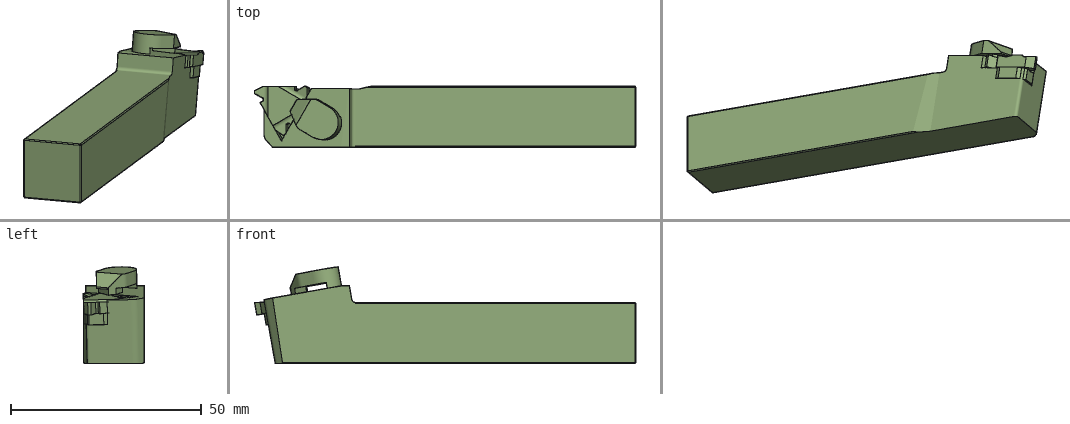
import cadquery as cq
import math

LENGTH = 99.9
SHANK = 16.0
SHANK_CHAMFER = 0.3

SEAT_TILT = 10.0
SEAT_ROLL_SLOPE = 0.024
SEAT_ORIGIN = (7.1, 11.2, 17.36)

HEAD_TOP = 20.38
HEAD_REAR_X = 25.65
HEAD_FILLET = 1.0
HEAD_EMBED = 8.0
HEAD_FRONT = -4.67
HEAD_BACK = -11.6
CORNER_CUT_X = 2.7
CORNER_CUT_Y = 2.85
CORNER_FILLET = 2.5
HEAD_SIDE = 4.2
SIDE_FRONT_FILLET = 0.8
RAMP_START = 19.8
RAMP_SLOPE = 0.25
REACH = 120.0

INSERT_INRADIUS = 9.525 / 2
INSERT_THICKNESS = 3.4
TOOTH_TIP_X = -7.22
TOOTH_TIP_TOP = 3.65
TOOTH_TIP_BOTTOM = 2.82
TOOTH_ROOT_X = -5.0
TOOTH_ROOT_BOTTOM = 1.58
NOTCH_BOTTOM = 0.95
NOTCH_END_X = -5.8
RAKE_EDGE_DEPTH = 0.02
RAKE_WALL_X = -3.65
RAKE_FLOOR_END_X = -4.75
RAKE_LEAD_IN = 1.0
RAKE_CLEARANCE = 1.0

SHIM_THICKNESS = 3.0
SHIM_TRIM_X = -5.25
SHIM_TRIM_TOP = 3.4
SHIM_FLANK_X = -2.9

CLAMP_CENTRE = (11.5, -4.8)
CLAMP_TURN = -30.0
CLAMP_RADIUS = 4.5
CLAMP_UNDERSIDE = 1.6
CLAMP_TOP = 5.17
CLAMP_SIDE = 1.3
NOSE_TIP = -9.2
NOSE_TIP_HEIGHT = 2.0
NOSE_EDGE = -5.9
NOSE_EDGE_HEIGHT = 4.9
NOSE_CHAMFER = 0.45
CLIP_START = -4.6
CLIP_ANGLE = 30.0
CLIP_FILLET = 2.5
HEEL_FRONT = 2.8
LEG_OUTLINE = [(1.74, -2.42), (7.0, 0.75), (6.7, -5.5), (2.6, -3.1)]

TILT = math.radians(SEAT_TILT)
SEAT = cq.Plane(
    origin=SEAT_ORIGIN,
    xDir=(math.cos(TILT), 0, math.sin(TILT)),
    normal=(-math.tan(TILT), SEAT_ROLL_SLOPE, 1),
)


def seat_plane(height=0.0):
    """Workplane parallel to the seat at a height above it."""
    return cq.Workplane(SEAT).workplane(offset=height)


def triangle(inradius):
    """Corners of the insert triangle, one side facing +Y."""
    half = inradius * math.sqrt(3)
    return [(-half, inradius), (half, inradius), (0, -2 * inradius)]


def on_seat(body):
    """Move a body drawn in the seat axes to its place on the seat."""
    return cq.Workplane(body.val().located(cq.Location(SEAT)))


def side_height(x):
    """Y on the lower left side of the insert triangle at a given x."""
    return -x * math.sqrt(3) - 2 * INSERT_INRADIUS


def fillet_upright(body, corner, radius):
    """Round the upright edge of a prism that stands on a corner of its outline."""
    nearest = cq.selectors.NearestToPointSelector((*corner, body.val().Center().z))
    return body.edges("|Z").edges(nearest).fillet(radius)


def around_centre(corner):
    """Points of one corner, repeated for the three corners of the triangle."""
    points = []
    for i in range(3):
        turn = math.radians(120 * i)
        for x, y in corner:
            turned_x = x * math.cos(turn) - y * math.sin(turn)
            turned_y = x * math.sin(turn) + y * math.cos(turn)
            points.append((turned_x, turned_y))
    return points


def tooth_corner():
    """Outline of one toothed corner, from the +Y side round to the next side."""
    return [
        (TOOTH_ROOT_X, INSERT_INRADIUS),
        (TOOTH_TIP_X, TOOTH_TIP_TOP),
        (TOOTH_TIP_X, TOOTH_TIP_BOTTOM),
        (TOOTH_ROOT_X, TOOTH_ROOT_BOTTOM),
        (TOOTH_ROOT_X, NOTCH_BOTTOM),
        (NOTCH_END_X, side_height(NOTCH_END_X)),
    ]


def rake_groove():
    """Cutter for the rake face of one corner, curving up to the insert top."""
    slope = math.tan(TILT)
    depth_at_start = RAKE_EDGE_DEPTH - slope * RAKE_LEAD_IN
    depth_at_end = RAKE_EDGE_DEPTH + slope * (RAKE_FLOOR_END_X - TOOTH_TIP_X)
    start_x = TOOTH_TIP_X - RAKE_LEAD_IN
    profile = (
        cq.Workplane("XZ")
        .moveTo(start_x, RAKE_CLEARANCE)
        .lineTo(start_x, -depth_at_start)
        .lineTo(RAKE_FLOOR_END_X, -depth_at_end)
        .tangentArcPoint((RAKE_WALL_X, 0), relative=False)
        .lineTo(RAKE_WALL_X, RAKE_CLEARANCE)
        .close()
    )
    return profile.extrude(2 * INSERT_INRADIUS, both=True)


def make_insert():
    outline = around_centre(tooth_corner())
    body = cq.Workplane("XY").polyline(outline).close().extrude(-INSERT_THICKNESS)
    for i in range(3):
        body = body.cut(rake_groove().rotate((0, 0, 0), (0, 0, 1), 120 * i))
    return on_seat(body)


def make_shank():
    bar = cq.Workplane("XY").box(LENGTH, SHANK, SHANK, centered=False)
    return bar.edges("|X or >X").chamfer(SHANK_CHAMFER)


def make_head_block():
    """Head and its rear wall, before the tilted faces are cut."""
    tangent = HEAD_FILLET / math.tan(math.radians(90 + SEAT_TILT) / 2)
    wall_dx = -math.sin(TILT)
    wall_dz = math.cos(TILT)
    rise = HEAD_TOP - SHANK
    profile = (
        cq.Workplane("XZ")
        .moveTo(0, HEAD_EMBED)
        .lineTo(0, HEAD_TOP)
        .lineTo(HEAD_REAR_X - rise * math.tan(TILT), HEAD_TOP)
        .lineTo(HEAD_REAR_X + tangent * wall_dx, SHANK + tangent * wall_dz)
        .tangentArcPoint((HEAD_REAR_X + tangent, SHANK), relative=False)
        .lineTo(HEAD_REAR_X + tangent, HEAD_EMBED)
        .close()
    )
    return profile.extrude(-SHANK)


def make_seat_envelope():
    """Prism square to the seat: front face, corner cut and set-back side."""
    ramp_end = RAMP_START + REACH
    outline = [
        (HEAD_FRONT, HEAD_SIDE),
        (HEAD_FRONT, HEAD_BACK + CORNER_CUT_Y),
        (HEAD_FRONT + CORNER_CUT_X, HEAD_BACK),
        (HEAD_FRONT + 2 * CORNER_CUT_X, HEAD_BACK - CORNER_CUT_Y),
        (ramp_end, HEAD_BACK - CORNER_CUT_Y),
        (ramp_end, HEAD_SIDE + RAMP_SLOPE * REACH),
        (RAMP_START, HEAD_SIDE),
    ]
    prism = cq.Workplane("XY").polyline(outline).close().extrude(-REACH / 2)

    side_corner = (HEAD_FRONT, HEAD_SIDE)
    prism = fillet_upright(prism, side_corner, SIDE_FRONT_FILLET)
    cut_corner = (HEAD_FRONT, HEAD_BACK + CORNER_CUT_Y)
    prism = fillet_upright(prism, cut_corner, CORNER_FILLET)
    return on_seat(prism)


def make_shim():
    """Triangular support with trimmed corners below the insert."""
    corner = [
        (SHIM_FLANK_X, INSERT_INRADIUS),
        (SHIM_TRIM_X, SHIM_TRIM_TOP),
        (SHIM_TRIM_X, side_height(SHIM_TRIM_X)),
    ]
    prism = seat_plane(-INSERT_THICKNESS).polyline(around_centre(corner)).close()
    return prism.extrude(-SHIM_THICKNESS)


def place_on_seat_axes(body):
    """Turn and move a body from the clamp axes to the seat axes."""
    turned = body.rotate((0, 0, 0), (0, 0, 1), CLAMP_TURN)
    return turned.translate((*CLAMP_CENTRE, 0))


def make_clamp():
    blank = (
        cq.Workplane("XY")
        .moveTo(0, CLAMP_RADIUS)
        .threePointArc((CLAMP_RADIUS, 0), (0, -CLAMP_RADIUS))
        .lineTo(CLIP_START, -CLAMP_RADIUS)
        .lineTo(
            CLIP_START - 2 * CLAMP_RADIUS / math.tan(math.radians(CLIP_ANGLE)),
            CLAMP_RADIUS,
        )
        .close()
        .extrude(CLAMP_TOP)
    )
    blank = fillet_upright(blank, (CLIP_START, -CLAMP_RADIUS), CLIP_FILLET)

    profile = (
        cq.Workplane("XZ")
        .moveTo(NOSE_TIP, NOSE_TIP_HEIGHT)
        .lineTo(NOSE_EDGE, NOSE_EDGE_HEIGHT)
        .lineTo(NOSE_EDGE + NOSE_CHAMFER, CLAMP_TOP)
        .lineTo(CLAMP_RADIUS, CLAMP_TOP)
        .lineTo(CLAMP_RADIUS, 0)
        .lineTo(HEEL_FRONT, 0)
        .lineTo(HEEL_FRONT, CLAMP_UNDERSIDE)
        .lineTo(NOSE_TIP, CLAMP_UNDERSIDE)
        .close()
        .extrude(CLAMP_RADIUS, both=True)
    )
    clamp = place_on_seat_axes(blank.intersect(profile))

    leg = cq.Workplane("XY").polyline(LEG_OUTLINE).close().extrude(CLAMP_UNDERSIDE)
    clamp = clamp.union(leg.intersect(place_on_seat_axes(blank)))

    side_cutter = (
        cq.Workplane("XY")
        .box(REACH, REACH, REACH)
        .translate((0, CLAMP_SIDE + REACH / 2, 0))
    )
    return on_seat(clamp.cut(side_cutter))


def make_holder(insert):
    body = make_shank().union(make_head_block()).intersect(make_seat_envelope())
    pocket = seat_plane().polyline(triangle(INSERT_INRADIUS)).close().extrude(-INSERT_THICKNESS)
    return body.union(make_shim()).cut(pocket).cut(insert).union(make_clamp())


insert = make_insert()
holder = make_holder(insert)

result = cq.Compound.makeCompound([holder.val(), insert.val()])